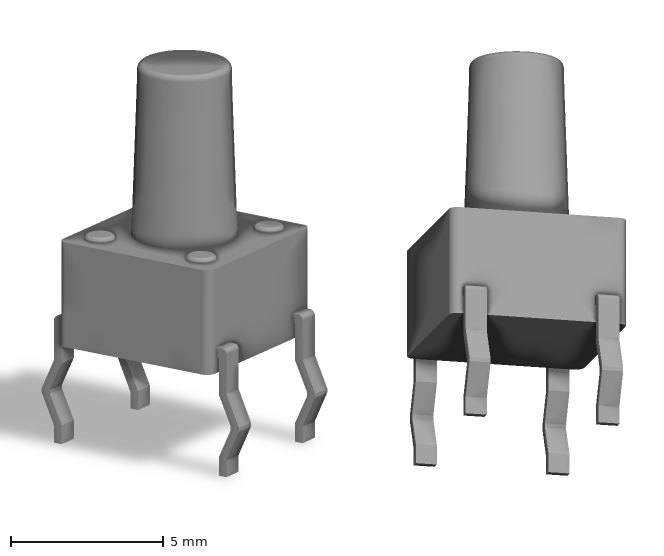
import cadquery as cq

overall_height = 13.01

body_side = 6.0
body_height = 3.6
body_corner_radius = 0.3

button_base_radius = 1.75
button_top_radius = 1.55
button_top_z = 9.5
button_edge_radius = 0.2

rivet_offset = 2.0
rivet_radius = 0.51
rivet_height = 0.15
rivet_edge_radius = 0.14

leg_thickness = 0.3
leg_width = 0.72
leg_spacing_y = 4.5
leg_outer_x = 3.41
leg_top_z = 0.88
leg_tip_z = button_top_z - overall_height
leg_embed = 0.26
shoulder_outer_radius = 0.17
shoulder_inner_radius = 0.1

kink_outer_x = 3.9
kink_inner_x = 3.58
kink_z = -1.8
kink_flat = 0.13
kink_half_outer = 1.15
kink_half_inner = 1.07


def make_housing():
    block = cq.Workplane("XY").box(body_side, body_side, body_height, centered=(True, True, False))
    return block.edges("|Z").fillet(body_corner_radius)


def make_button():
    profile = (
        cq.Workplane("XZ")
        .moveTo(0, body_height)
        .lineTo(button_base_radius, body_height)
        .lineTo(button_top_radius, button_top_z)
        .lineTo(0, button_top_z)
        .close()
    )
    return profile.revolve(360, (0, 0, 0), (0, 1, 0)).faces(">Z").edges().fillet(button_edge_radius)


def make_rivets():
    return (
        cq.Workplane("XY", origin=(0, 0, body_height))
        .rect(2 * rivet_offset, 2 * rivet_offset, forConstruction=True)
        .vertices()
        .circle(rivet_radius)
        .extrude(rivet_height)
        .faces(">Z")
        .edges()
        .fillet(rivet_edge_radius)
    )


def make_leg(center_y):
    """One leg on the +X side, its strip width centred on center_y."""
    inner_x = leg_outer_x - leg_thickness
    root_x = body_side / 2 - leg_embed
    underside_z = leg_top_z - leg_thickness
    profile = (
        cq.Workplane("XZ", origin=(0, center_y, 0))
        .moveTo(root_x, leg_top_z)
        .lineTo(leg_outer_x - shoulder_outer_radius, leg_top_z)
        .radiusArc((leg_outer_x, leg_top_z - shoulder_outer_radius), shoulder_outer_radius)
        .lineTo(leg_outer_x, kink_z + kink_half_outer)
        .lineTo(kink_outer_x, kink_z + kink_flat / 2)
        .lineTo(kink_outer_x, kink_z - kink_flat / 2)
        .lineTo(leg_outer_x, kink_z - kink_half_outer)
        .lineTo(leg_outer_x, leg_tip_z)
        .lineTo(inner_x, leg_tip_z)
        .lineTo(inner_x, kink_z - kink_half_inner)
        .lineTo(kink_inner_x, kink_z - kink_flat / 2)
        .lineTo(kink_inner_x, kink_z + kink_flat / 2)
        .lineTo(inner_x, kink_z + kink_half_inner)
        .lineTo(inner_x, underside_z - shoulder_inner_radius)
        .radiusArc((inner_x - shoulder_inner_radius, underside_z), -shoulder_inner_radius)
        .lineTo(root_x, underside_z)
        .close()
    )
    return profile.extrude(leg_width / 2, both=True)


result = make_housing().union(make_button()).union(make_rivets())
for side_y in (-1, 1):
    leg = make_leg(side_y * leg_spacing_y / 2)
    result = result.union(leg).union(leg.mirror("YZ"))